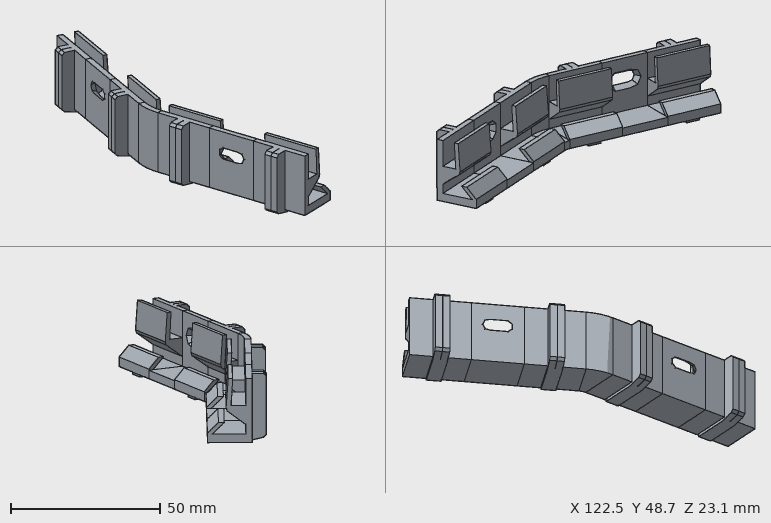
import cadquery as cq
import math


overall_length = 122.5
bend_angle = 28.0
arm_length = 60.0
plate_length = 18.0
holder_length = (arm_length - plate_length) / 2
bend_cos = math.cos(math.radians(bend_angle))
bend_sin = math.sin(math.radians(bend_angle))
bend_radius = (overall_length - arm_length * (1 + bend_cos)) / bend_sin

height = 22.0
depth = 15.1
wall_thickness = 2.2
base_thickness = 3.0

lip_start = 3.3
lip_top = 7.0
lip_top_width = 2.0

rail_foot = 6.2
rail_chin_depth = 8.5
rail_chin_height = 10.9
rail_bulge_depth = 8.8
rail_bulge_height = 12.0
rail_top_depth = 8.1
slot_floor = 12.7
slot_depth = 7.1
slot_top_depth = 6.6

rib_width = 5.0
rib_reach = 4.8
rib_chamfer = 1.0
foot_drop = 1.1
foot_slope_end = 1.0
foot_back = 14.2
slit_width = 0.06

window_front_radius = 2.1
window_rear_radius = 3.4
window_end_spacing = 6.0
window_center_height = 14.1
window_sides = 7
window_corner_angle = 360 / window_sides


def extrude_centered(profile, length):
    """Extrude (depth, height) points along X, centred on X = 0."""
    return cq.Workplane("YZ").polyline(profile).close().extrude(length / 2, both=True)


def angle_profile():
    """L-shaped section of wall and base."""
    return [
        (0, 0),
        (depth, 0),
        (depth, base_thickness),
        (wall_thickness, base_thickness),
        (wall_thickness, height),
        (0, height),
    ]


def holder_profile():
    """Wall, base, 45-degree lip and slotted rail."""
    lip_rise = lip_top - lip_start
    lip_outer_edge = depth - lip_rise
    lip_inner_edge = lip_outer_edge - lip_top_width
    lip_inner_foot = lip_inner_edge + lip_top - base_thickness
    return [
        (0, 0),
        (depth, 0),
        (depth, lip_start),
        (lip_outer_edge, lip_top),
        (lip_inner_edge, lip_top),
        (lip_inner_foot, base_thickness),
        (wall_thickness, base_thickness),
        (wall_thickness, rail_foot),
        (rail_chin_depth, rail_chin_height),
        (rail_bulge_depth, rail_bulge_height),
        (rail_top_depth, height),
        (slot_top_depth, height),
        (slot_depth, slot_floor),
        (wall_thickness, slot_floor),
        (wall_thickness, height),
        (0, height),
    ]


def rib_profile():
    """Front rib with chamfered ends, sloping into the foot; it overlaps the wall and base."""
    return [
        (wall_thickness, height),
        (rib_chamfer - rib_reach, height),
        (-rib_reach, height - rib_chamfer),
        (-rib_reach, rib_chamfer),
        (rib_chamfer - rib_reach, 0),
        (foot_slope_end, -foot_drop),
        (foot_back, -foot_drop),
        (foot_back, base_thickness),
        (wall_thickness, base_thickness),
    ]


def make_holder():
    body = extrude_centered(holder_profile(), holder_length)
    rib = extrude_centered(rib_profile(), rib_width)
    slit = cq.Workplane("XY").box(slit_width, rib_reach, height + foot_drop, centered=(True, False, False))
    return body.union(rib).cut(slit.translate((0, -rib_reach, -foot_drop)))


def window_corner(end_center, radius, corner_index):
    """One corner of a seven-sided window end, counted round from the outward corner."""
    angle = math.radians(corner_index * window_corner_angle)
    return (
        end_center + radius * math.cos(angle),
        window_center_height + radius * math.sin(angle),
    )


def window_outline(radius):
    outer_end = [window_corner(window_end_spacing / 2, radius, index) for index in (-2, -1, 0, 1, 2)]
    inner_end = [window_corner(-window_end_spacing / 2, radius, index) for index in (2, 3, 4, 5)]
    return outer_end + inner_end


def make_plate():
    body = extrude_centered(angle_profile(), plate_length)
    window = (
        cq.Workplane("XZ")
        .polyline(window_outline(window_front_radius))
        .close()
        .workplane(offset=-wall_thickness)
        .polyline(window_outline(window_rear_radius))
        .close()
        .loft(ruled=True)
    )
    return body.cut(window)


def make_bend():
    """Angle section swept around the bend axis, which stands behind the rear edge."""
    section = cq.Workplane("YZ").polyline(angle_profile()).close()
    return section.revolve(bend_angle, (bend_radius, 0), (bend_radius, -1))


def on_straight_arm(body, distance):
    return body.translate((distance, 0, 0))


def on_angled_arm(body, distance):
    """Mirror the straight arm's placement, then turn it about the bend axis."""
    axis_start = (0, bend_radius, 0)
    axis_end = (0, bend_radius, 1)
    return on_straight_arm(body, distance).mirror("YZ").rotate(axis_start, axis_end, -bend_angle)


inner_holder_distance = holder_length / 2
plate_distance = arm_length / 2
outer_holder_distance = arm_length - holder_length / 2

holders = []
plates = []
for place_on_arm in (on_straight_arm, on_angled_arm):
    for holder_distance in (inner_holder_distance, outer_holder_distance):
        holders.append(place_on_arm(make_holder(), holder_distance).solids().val())
    plates.append(place_on_arm(make_plate(), plate_distance).solids().val())

bend = make_bend()

result = cq.Compound.makeCompound([*holders, *plates, bend.val()])